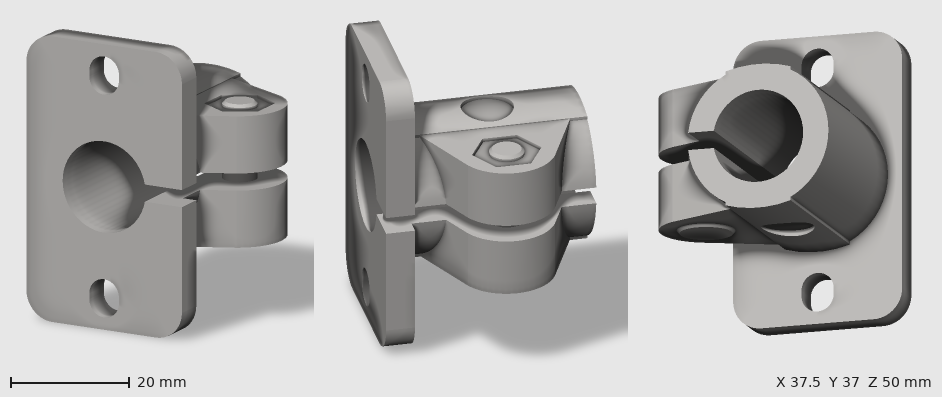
import cadquery as cq
import math

PLATE_WIDTH = 30
PLATE_HEIGHT = 50
PLATE_THICKNESS = 5
PLATE_CORNER_RADIUS = 5
SLOT_WIDTH = 5.7
SLOT_LENGTH = 6.7
SLOT_OFFSET = 19.5

TOTAL_DEPTH = 37
SLEEVE_DIAMETER = 25
BORE_DIAMETER = 16
SLIT_WIDTH = 3
SLEEVE_MIDDLE = (PLATE_THICKNESS + TOTAL_DEPTH) / 2

BAND_HALF_WIDTH = 5.75
BAND_EDGE_HEIGHT = 11.65
DIMPLE_DIAMETER = 9
DIMPLE_FLOOR = 11.5

EAR_HALF_HEIGHT = 11.5
EAR_TIP_CENTER_X = 14
EAR_TIP_RADIUS = 8.5
EAR_ROOT_HALF_DEPTH = 13
EAR_SHOULDER_X = 18

BOLT_X = 14.5
BOLT_DIAMETER = 6
BOLT_END = 12
BOLT_CHAMFER = 0.5
HEAD_DIAMETER = 10
HEAD_HEIGHT = 6
NUT_HEIGHT = 5
NUT_FLATS = 10
NUT_POCKET_FLATS = 10.4
NUT_RECESS = 0.5


def along_y(start):
    """Workplane facing +Y, with its own X and Y along global -X and Z."""
    return cq.Workplane("XZ", origin=(0, start, 0)).transformed(rotate=(0, 180, 0))


def at_height(x, z):
    """Horizontal workplane at the middle of the sleeve."""
    return cq.Workplane("XY", origin=(x, SLEEVE_MIDDLE, z))


def make_plate():
    plate = along_y(0).rect(PLATE_WIDTH, PLATE_HEIGHT).extrude(PLATE_THICKNESS)
    plate = plate.edges("|Y").fillet(PLATE_CORNER_RADIUS)
    slots = (
        along_y(0)
        .pushPoints([(0, SLOT_OFFSET), (0, -SLOT_OFFSET)])
        .slot2D(SLOT_LENGTH, SLOT_WIDTH, 90)
        .extrude(PLATE_THICKNESS)
    )
    return plate.cut(slots)


def make_sleeve():
    length = TOTAL_DEPTH - PLATE_THICKNESS
    radius = SLEEVE_DIAMETER / 2
    sleeve = along_y(PLATE_THICKNESS).circle(radius).extrude(length)
    bands = (
        along_y(PLATE_THICKNESS)
        .moveTo(-BAND_HALF_WIDTH, BAND_EDGE_HEIGHT)
        .threePointArc((0, radius), (BAND_HALF_WIDTH, BAND_EDGE_HEIGHT))
        .lineTo(BAND_HALF_WIDTH, -BAND_EDGE_HEIGHT)
        .threePointArc((0, -radius), (-BAND_HALF_WIDTH, -BAND_EDGE_HEIGHT))
        .close()
        .extrude(length)
    )
    sleeve = sleeve.union(bands)
    for side in (1, -1):
        dimple = at_height(0, side * DIMPLE_FLOOR).circle(DIMPLE_DIAMETER / 2)
        sleeve = sleeve.cut(dimple.extrude(side * radius))
    return sleeve


def make_ears():
    shoulder = math.sqrt(EAR_TIP_RADIUS**2 - (EAR_SHOULDER_X - EAR_TIP_CENTER_X) ** 2)
    return (
        at_height(0, -EAR_HALF_HEIGHT)
        .moveTo(BAND_HALF_WIDTH, -EAR_ROOT_HALF_DEPTH)
        .lineTo(EAR_SHOULDER_X, -shoulder)
        .threePointArc((EAR_TIP_CENTER_X + EAR_TIP_RADIUS, 0), (EAR_SHOULDER_X, shoulder))
        .lineTo(BAND_HALF_WIDTH, EAR_ROOT_HALF_DEPTH)
        .close()
        .extrude(2 * EAR_HALF_HEIGHT)
    )


def make_bore_and_slit():
    bore = along_y(0).circle(BORE_DIAMETER / 2).extrude(TOTAL_DEPTH)
    reach = EAR_TIP_CENTER_X + EAR_TIP_RADIUS
    slit = cq.Workplane("XY").box(reach, TOTAL_DEPTH, SLIT_WIDTH, centered=(False, False, True))
    return bore.union(slit)


def make_hex(across_flats, top, height):
    """Hexagonal prism on the bolt axis, extending down from its top."""
    corner_diameter = across_flats / math.cos(math.pi / 6)
    return (
        at_height(BOLT_X, top)
        .transformed(rotate=(0, 0, 90))
        .polygon(6, corner_diameter)
        .extrude(-height)
    )


def make_nut_pocket():
    return make_hex(NUT_POCKET_FLATS, EAR_HALF_HEIGHT, NUT_RECESS + NUT_HEIGHT)


def make_nut():
    return make_hex(NUT_FLATS, EAR_HALF_HEIGHT - NUT_RECESS, NUT_HEIGHT)


def make_bolt():
    shank = at_height(BOLT_X, -BOLT_END).circle(BOLT_DIAMETER / 2).extrude(2 * BOLT_END)
    shank = shank.faces(">Z").chamfer(BOLT_CHAMFER)
    head = at_height(BOLT_X, -BOLT_END).circle(HEAD_DIAMETER / 2).extrude(HEAD_HEIGHT)
    head = head.faces("<Z").chamfer(BOLT_CHAMFER)
    return shank.union(head)


clamp = make_plate().union(make_sleeve()).union(make_ears())
clamp = clamp.cut(make_bore_and_slit()).cut(make_nut_pocket())
result = clamp.union(make_nut()).union(make_bolt())